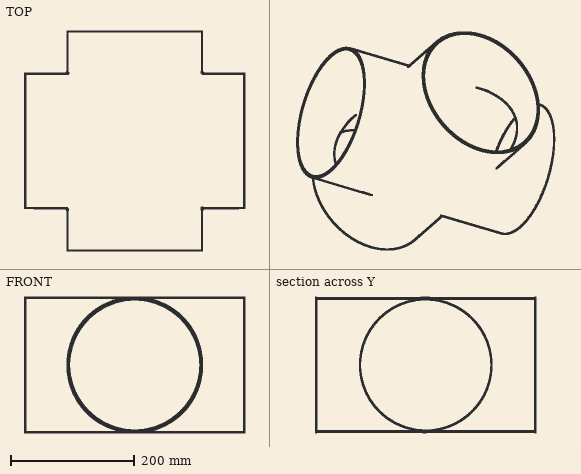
import cadquery as cq

overall_length = 356.0
outer_diameter = 219.0
bore_diameter = 213.2
wall_thickness = (outer_diameter - bore_diameter) / 2

outer_seam_radius = 4.0
inner_seam_radius = outer_seam_radius + wall_thickness


def crossing_bars(diameter, seam_radius):
    """Join equal round bars along X and Y and fillet the seams between them."""
    half_length = overall_length / 2
    bar_x = cq.Workplane("YZ").circle(diameter / 2).extrude(half_length, both=True)
    bar_y = cq.Workplane("XZ").circle(diameter / 2).extrude(half_length, both=True)
    return bar_x.union(bar_y).edges("%ELLIPSE").fillet(seam_radius)


outer_body = crossing_bars(outer_diameter, outer_seam_radius)
bore = crossing_bars(bore_diameter, inner_seam_radius)
result = outer_body.cut(bore)